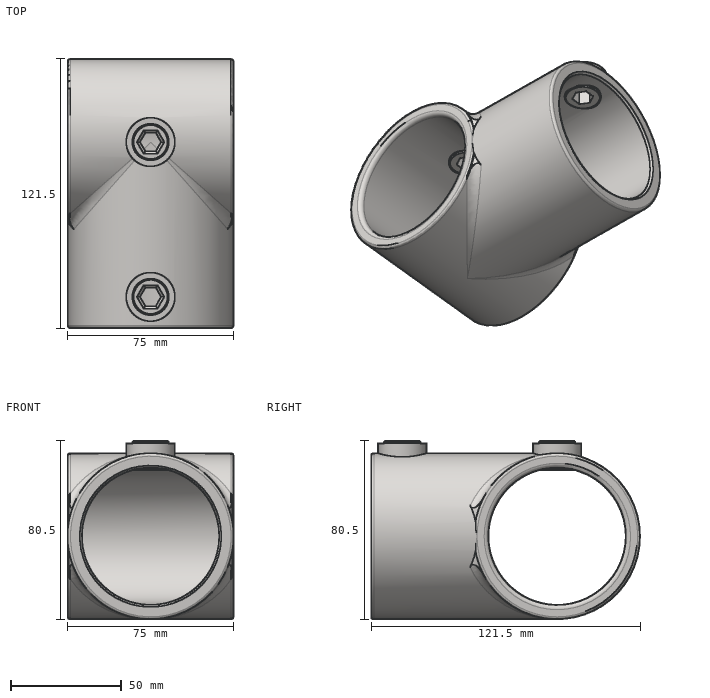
import cadquery as cq
import math

overall_length = 121.5
overall_height = 80.5
tube_diameter = 75.0
tube_radius = tube_diameter / 2
bore_diameter = 62.0
bore_radius = bore_diameter / 2
sleeve_length = tube_diameter
branch_length = overall_length - tube_radius

end_rounding = 1.2
sleeve_mouth_rounding = 2.1
branch_mouth_chamfer = 1.0
junction_fillet = 4.9
fillet_taper_slope = 2.0
long_sleeve_extra = 4 * junction_fillet

boss_diameter = 22.0
boss_height = 4.5
boss_top = tube_radius + boss_height
branch_screw_from_end = 14.1
screw_positions = [0.0, branch_screw_from_end - branch_length]

screw_diameter = 16.5
screw_face_diameter = 15.3
screw_chamfer = (screw_diameter - screw_face_diameter) / 2
screw_top = overall_height - tube_radius
screw_bottom = 29.9
screw_length = screw_top - screw_bottom
socket_flats = 8.3
socket_mouth_flats = 10.7
socket_mouth_depth = 1.2
HEX_CORNERS_PER_FLATS = 2 / math.sqrt(3)


def x_cylinder(diameter, length):
    """Cylinder along X, centred on the sleeve."""
    return cq.Workplane("YZ").circle(diameter / 2).extrude(length / 2, both=True)


def branch_cylinder(diameter):
    """Cylinder along -Y, from the sleeve axis to the open end of the branch."""
    return cq.Workplane("XZ").circle(diameter / 2).extrude(branch_length)


def upright_cylinder(diameter, y, bottom, top):
    """Vertical cylinder between two heights at a place along Y."""
    return cq.Workplane("XY", origin=(0, y, bottom)).circle(diameter / 2).extrude(top - bottom)


def upright_hexagon(flats, y, height):
    """Hexagon with two corners along X, at a height and a place along Y."""
    return cq.Workplane("XY", origin=(0, y, height)).polygon(6, flats * HEX_CORNERS_PER_FLATS)


def fillet_envelope():
    """Barrel around the sleeve whose tapered ends close onto the outlines of its end faces."""
    half = sleeve_length / 2
    end_face_radius = tube_radius - end_rounding
    largest_radius = tube_radius + junction_fillet
    taper_run = (largest_radius - end_face_radius) / fillet_taper_slope
    return (
        cq.Workplane("XY")
        .moveTo(-half, 0)
        .lineTo(-half, end_face_radius)
        .lineTo(taper_run - half, largest_radius)
        .lineTo(half - taper_run, largest_radius)
        .lineTo(half, end_face_radius)
        .lineTo(half, 0)
        .close()
        .revolve(360, (0, 0, 0), (1, 0, 0))
    )


def make_junction_fillet():
    """Concave fillet wedges between sleeve and branch, tapering off at the sleeve ends."""
    long_sleeve = x_cylinder(tube_diameter, sleeve_length + long_sleeve_extra)
    branch = branch_cylinder(tube_diameter)
    crossing = long_sleeve.union(branch)
    filleted = crossing.edges("%ELLIPSE or %BSPLINE").fillet(junction_fillet)
    return filleted.cut(long_sleeve).cut(branch).intersect(fillet_envelope())


def make_housing():
    """Tee of two tubes with two screw bosses on top."""
    sleeve = x_cylinder(tube_diameter, sleeve_length).edges("%CIRCLE").fillet(end_rounding)
    branch = branch_cylinder(tube_diameter).faces("<Y").edges().fillet(end_rounding)
    housing = sleeve.union(branch).union(make_junction_fillet())
    for y in screw_positions:
        housing = housing.union(upright_cylinder(boss_diameter, y, bore_radius, boss_top))

    housing = housing.cut(sleeve_bore()).cut(branch_bore())
    for y in screw_positions:
        housing = housing.cut(upright_cylinder(screw_diameter, y, 0, screw_top))
    return housing


def sleeve_bore():
    """Bore along X, flaring out with a convex rounding at both mouths."""
    half = sleeve_length / 2
    mouth_radius = bore_radius + sleeve_mouth_rounding
    start = half - sleeve_mouth_rounding
    bend = sleeve_mouth_rounding * (1 - math.sqrt(0.5))
    return (
        cq.Workplane("XY")
        .moveTo(-half, 0)
        .lineTo(-half, mouth_radius)
        .threePointArc((-half + bend, bore_radius + bend), (-start, bore_radius))
        .lineTo(start, bore_radius)
        .threePointArc((half - bend, bore_radius + bend), (half, mouth_radius))
        .lineTo(half, 0)
        .close()
        .revolve(360, (0, 0, 0), (1, 0, 0))
    )


def branch_bore():
    """Bore along -Y from the sleeve axis, chamfered at the open end."""
    mouth_radius = bore_radius + branch_mouth_chamfer
    return (
        cq.Workplane("XY")
        .lineTo(bore_radius, 0)
        .lineTo(bore_radius, branch_mouth_chamfer - branch_length)
        .lineTo(mouth_radius, -branch_length)
        .lineTo(0, -branch_length)
        .close()
        .revolve(360, (0, 0, 0), (0, 1, 0))
    )


def make_set_screw(y):
    """Headless screw, chamfered at both ends, with a hexagon socket through it."""
    screw = upright_cylinder(screw_diameter, y, screw_bottom, screw_top)
    screw = screw.faces("<Z or >Z").edges().chamfer(screw_chamfer)
    socket = upright_hexagon(socket_flats, y, screw_bottom).extrude(screw_length)
    socket_mouth = (
        upright_hexagon(socket_mouth_flats, y, screw_top)
        .workplane(offset=-socket_mouth_depth)
        .polygon(6, socket_flats * HEX_CORNERS_PER_FLATS)
        .loft()
    )
    return screw.cut(socket).cut(socket_mouth)


housing = make_housing()
set_screws = [make_set_screw(y) for y in screw_positions]
result = cq.Compound.makeCompound([housing.val(), *[screw.val() for screw in set_screws]])